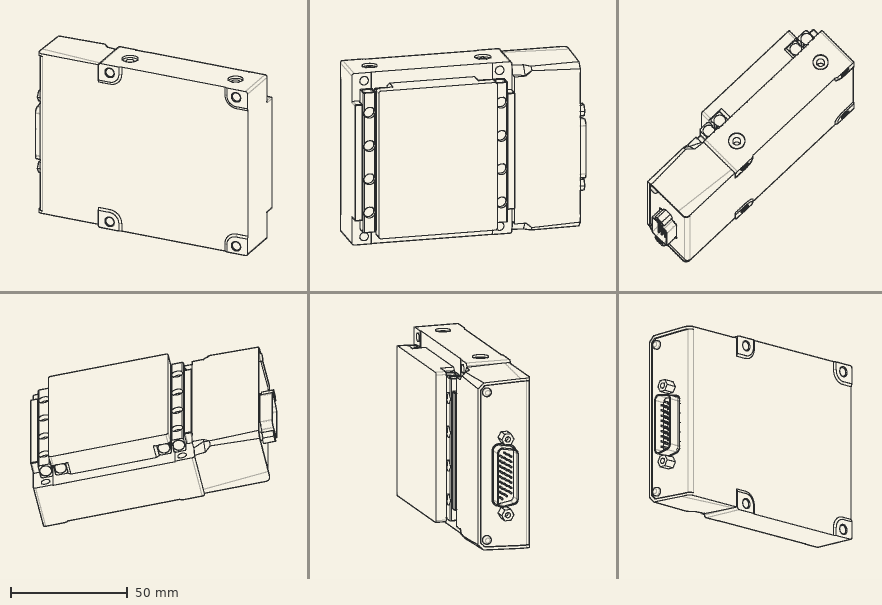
import cadquery as cq
import math


total_length = 104.4
total_width = 77.0
base_start = 33.5
base_edge_radius = 1.0
foot_height = 0.5
seat_y = 19.7
floor_y = 19.4
floor_length = 53.7
base_middle = (base_start + total_length) / 2
half_width = total_width / 2

foot_hole_inset_x = 5.4
foot_hole_inset_z = 3.5
foot_hole_dia = 3.8
foot_hole_mouth_dia = 4.5
foot_radius = 4.4
foot_root_radius = 5.5
foot_reach = 12.5

side_hole_spacing = 50.1
side_hole_y = 10.0
side_hole_dia = 3.3
side_hole_depth = 8.4
side_recess_depth = 1.0
side_recess_dias = [7.0, 6.5]

rail_width = 5.4
rail_height = 6.3
rail_length = 62.6
rail_edge_x = 0.5
rail_edge_y = 0.5
rail_groove_height = 1.3
rail_groove_depth = 0.3
rail_disc_dia = 5.0
rail_disc_relief = 0.2
outer_rail_offset = 29.2
inner_rail_offset = 22.8
rail_middle_y = seat_y + rail_height / 2
rail_bolt_dia = 4.8
rail_bolt_depth = 2.1
rail_bolt_pitch = 14.9
rail_bolt_count = 4

ridge_thickness = 3.4
ridge_length = 52.2
ridge_top_y = 25.1
ridge_corner_radius = 0.5
ridge_top_chamfer = 0.3

carriage_length = 52.6
carriage_width = 66.3
carriage_top_y = 30.5
plate_bottom_y = 25.9
carriage_corner_radius = 1.0
stem_length = 2 * (inner_rail_offset - rail_width / 2)
stem_bottom_y = 20.0
stem_chamfer = 1.3

box_face_x = 4.4
box_half_width = 37.5
box_top_y = 24.4
box_draft = math.radians(2)
box_front_crease_y = 5.2
box_rear_crease_y = 2.6
box_front_chamfer = 2.5
box_rear_chamfer = 1.3
box_edge_radius = 2.1
notch_start_x = 25.6
notch_full_x = 28.6
notch_depth = 4.5
notch_start_cut = 1.3
notch_mouth_y = 20.3
notch_floor_edge_y = 23.4
notch_base_floor_edge_y = 21.1

panel_depth = 0.7
panel_rim = 1.3
panel_edge_radius = 1.7
panel_corner_cut = 1.9
panel_x = box_face_x + panel_depth

screw_dia = 3.8
screw_tip_x = 3.5
screw_edge_radius = 0.8
screw_y = 20.4
screw_z = 32.6

connector_y = 12.4
connector_z = -4.5
shell_height = 9.4
shell_width = 25.5
shell_slant = math.radians(10)
shell_corner_radius = 2.3
shell_wall = 0.5
shell_gap = 0.6
shell_gap_depth = 0.5

pin_dia = 0.6
pin_tip_x = 1.4
pin_pitch = 2.3
pin_row_pitch = 2.0
pin_rows = [(1, 9, 3.75), (0, 9, 4.25), (-1, 8, 3.75)]

nut_corner_dia = 5.5
nut_hole_dia = 2.3
nut_hole_depth = 3.1
nut_spacing = 33.4


def block(x0, x1, y0, y1, z_length):
    """Box between two X and two Y values, centred on Z."""
    centre = ((x0 + x1) / 2, (y0 + y1) / 2, 0)
    return cq.Workplane("XY").box(x1 - x0, y1 - y0, z_length).translate(centre)


def rod(x0, x1, y, z, dia):
    """Cylinder along X."""
    return cq.Workplane("YZ", origin=(x0, y, z)).circle(dia / 2).extrude(x1 - x0)


def bore_down(x, y, z, dia, depth):
    """Cylinder along Y whose upper end is at the given point."""
    return cq.Workplane("XZ", origin=(x, y, z)).circle(dia / 2).extrude(depth)


def yz_wire(x, points):
    """Closed polygon of (y, z) points at one X."""
    return cq.Wire.makePolygon([cq.Vector(x, y, z) for y, z in points], close=True)


def ruled_loft(*wires):
    return cq.Workplane(obj=cq.Solid.makeLoft(list(wires), True))


def foot_wire(y, radius):
    """Round-cornered foot outline about its hole, open toward -X and +Z."""
    outline = (
        cq.Workplane("XZ", origin=(0, y, 0))
        .moveTo(-foot_reach, foot_reach)
        .lineTo(-foot_reach, -radius)
        .lineTo(0, -radius)
        .radiusArc((radius, 0), -radius)
        .lineTo(radius, foot_reach)
        .close()
    )
    return outline.val()


def mirrored_corners(body):
    """Copies of a body at the +Z, -X corner for all four corners of the base."""
    flipped = body.mirror("XY")
    pair = [body, flipped]
    far_pair = [b.mirror("YZ", (base_middle, 0, 0)) for b in pair]
    return pair + far_pair


def make_base_block():
    base = block(base_start, total_length, foot_height, seat_y, total_width)
    base = base.edges("|Y").fillet(base_edge_radius)
    footprint = block(base_start, total_length, 0, foot_height, total_width)
    footprint = footprint.edges("|Y").fillet(base_edge_radius)

    hole_x = base_start + foot_hole_inset_x
    hole_z = half_width - foot_hole_inset_z
    foot = ruled_loft(foot_wire(0, foot_radius), foot_wire(foot_height, foot_root_radius))
    for corner_foot in mirrored_corners(foot.translate((hole_x, 0, hole_z))):
        base = base.union(corner_foot.intersect(footprint))

    mouth_depth = (foot_hole_mouth_dia - foot_hole_dia) / 2
    mouth = cq.Workplane(
        obj=cq.Solid.makeCone(
            foot_hole_mouth_dia / 2, foot_hole_dia / 2, mouth_depth,
            cq.Vector(hole_x, 0, hole_z), cq.Vector(0, 1, 0),
        )
    )
    foot_hole = bore_down(hole_x, seat_y, hole_z, foot_hole_dia, seat_y).union(mouth)
    for corner_hole in mirrored_corners(foot_hole):
        base = base.cut(corner_hole)

    floor_start = base_middle - floor_length / 2
    floor = block(floor_start, floor_start + floor_length, floor_y, seat_y, total_width)
    return base.cut(floor)


def cut_side_holes(base):
    for side, recess_dia in zip((-1, 1), side_recess_dias):
        x = base_middle + side * side_hole_spacing / 2
        face = cq.Workplane("XY", origin=(x, side_hole_y, half_width))
        base = base.cut(face.circle(side_hole_dia / 2).extrude(-side_hole_depth))
        base = base.cut(face.circle(recess_dia / 2).extrude(-side_recess_depth))
    return base


def make_rail(offset, groove_side):
    """Rail along Z, at an X offset from the base middle, grooved toward its partner rail."""
    half = rail_width / 2
    top = rail_height / 2
    profile = [
        (-half + rail_edge_x, -top), (half - rail_edge_x, -top), (half, -top + rail_edge_x),
        (half, top - rail_edge_y), (half - rail_edge_x, top),
        (-half + rail_edge_x, top), (-half, top - rail_edge_y), (-half, -top + rail_edge_x),
    ]
    rail = cq.Workplane("XY").polyline(profile).close().extrude(rail_length / 2, both=True)
    groove_x = groove_side * half
    rail = rail.cut(
        block(
            groove_x - rail_groove_depth, groove_x + rail_groove_depth,
            -rail_groove_height / 2, rail_groove_height / 2, rail_length,
        )
    )
    for end in (-1, 1):
        face = cq.Workplane("XY", origin=(0, 0, end * rail_length / 2))
        rail = rail.cut(face.circle(rail_disc_dia / 2).extrude(-end * rail_disc_relief))
    return rail.translate((base_middle + offset, rail_middle_y, 0))


def make_outer_rail(side):
    rail = make_rail(side * outer_rail_offset, -side)
    for i in range(rail_bolt_count):
        z = (i - (rail_bolt_count - 1) / 2) * rail_bolt_pitch
        x = base_middle + side * outer_rail_offset
        rail = rail.cut(bore_down(x, seat_y + rail_height, z, rail_bolt_dia, rail_bolt_depth))
    return rail


def make_ridge():
    """Low wall along the box end of the base, against the outer rail."""
    ridge = block(base_start, base_start + ridge_thickness, seat_y, ridge_top_y, ridge_length)
    return ridge.edges("|Y").fillet(ridge_corner_radius).faces(">Y").chamfer(ridge_top_chamfer)


def side_z(y, crease_y):
    """Half width of the box: upright below the crease, drafted inward above it."""
    return box_half_width - max(0, y - crease_y) * math.tan(box_draft)


def box_section(x, crease_y, chamfer):
    shoulder_y = box_top_y - chamfer
    shoulder_z = side_z(shoulder_y, crease_y)
    upper = [(foot_height, box_half_width), (crease_y, box_half_width),
             (shoulder_y, shoulder_z), (box_top_y, shoulder_z - chamfer)]
    lower = [(y, -z) for y, z in reversed(upper)]
    return yz_wire(x, upper + lower)


def make_box():
    box = ruled_loft(
        box_section(box_face_x, box_front_crease_y, box_front_chamfer),
        box_section(base_start, box_rear_crease_y, box_rear_chamfer),
    )
    edge = cq.selectors.NearestToPointSelector((box_face_x, foot_height, 0))
    return box.edges(edge).fillet(box_edge_radius)


def cut_corner_notches(box):
    """Sloped notches at the upper rear corners, deepening toward the base."""
    outside_y = box_top_y + 1
    outside_z = box_half_width + 1
    floor_z = box_half_width - notch_depth

    def section(x, mouth_y, floor_edge_y, depth_z):
        points = [(mouth_y, outside_z), (mouth_y, side_z(mouth_y, box_rear_crease_y)),
                  (floor_edge_y, depth_z), (outside_y, depth_z), (outside_y, outside_z)]
        return yz_wire(x, points)

    start_y = box_top_y - notch_start_cut
    start_z = side_z(start_y, box_rear_crease_y) - notch_start_cut
    start = section(notch_start_x, start_y, box_top_y, start_z)
    full = section(notch_full_x, notch_mouth_y, notch_floor_edge_y, floor_z)
    end = section(base_start, seat_y, notch_base_floor_edge_y, floor_z)
    for notch in (ruled_loft(start, full), ruled_loft(full, end)):
        box = box.cut(notch).cut(notch.mirror("XY"))
    return box


def cut_panel(box):
    """Recess the front face inside a rim, running out around the lower rounded edge."""
    run_out_x = panel_x + panel_edge_radius
    run_out_y = foot_height + panel_edge_radius
    profile = (
        cq.Workplane("XY")
        .moveTo(0, 0)
        .lineTo(run_out_x, 0)
        .lineTo(run_out_x, foot_height)
        .radiusArc((panel_x, run_out_y), panel_edge_radius)
        .lineTo(panel_x, box_top_y)
        .lineTo(0, box_top_y)
        .close()
        .extrude(half_width, both=True)
    )
    top = box_top_y - panel_rim
    top_z = side_z(top, box_front_crease_y) - panel_rim
    crease_z = box_half_width - panel_rim
    upper = [(0, crease_z), (box_front_crease_y, crease_z),
             (top - panel_corner_cut, top_z), (top, top_z - panel_corner_cut)]
    lower = [(y, -z) for y, z in reversed(upper)]
    opening = cq.Workplane("YZ").polyline(upper + lower).close().extrude(run_out_x)
    return box.cut(profile.intersect(opening))


def make_panel_screw(z):
    head = rod(screw_tip_x, panel_x, screw_y, z, screw_dia)
    return head.faces("<X").edges().fillet(screw_edge_radius)


def d_prism(x0, x1, offset):
    """D outline grown by an offset, wide side toward +Y."""
    half_height = shell_height / 2 + offset
    mid_half = shell_width / 2 + offset / math.cos(shell_slant)
    lean = half_height * math.tan(shell_slant)
    points = [(-half_height, -mid_half + lean), (half_height, -mid_half - lean),
              (half_height, mid_half + lean), (-half_height, mid_half - lean)]
    outline = cq.Workplane("YZ", origin=(x0, connector_y, connector_z)).polyline(points).close()
    prism = outline.extrude(x1 - x0)
    return prism.edges("|X").fillet(shell_corner_radius + offset)


def add_connector(body):
    floor_x = panel_x + shell_gap_depth
    body = body.cut(d_prism(0, floor_x, shell_gap))
    body = body.union(d_prism(0, floor_x, 0).cut(d_prism(0, panel_x, -shell_wall)))
    for step, count, first in pin_rows:
        for i in range(count):
            y = connector_y + step * pin_row_pitch
            z = connector_z + (first - i) * pin_pitch
            body = body.union(rod(pin_tip_x, floor_x, y, z, pin_dia))
    for side in (-1, 1):
        z = connector_z + side * nut_spacing / 2
        nut = cq.Workplane("YZ", origin=(0, connector_y, z)).polygon(6, nut_corner_dia).extrude(panel_x)
        body = body.union(nut.cut(rod(0, nut_hole_depth, connector_y, z, nut_hole_dia)))
    return body


def make_housing():
    housing = make_base_block()
    housing = cut_side_holes(housing)
    ridge = make_ridge()
    housing = housing.union(ridge).union(ridge.mirror("YZ", (base_middle, 0, 0)))
    for side in (-1, 1):
        housing = housing.union(make_outer_rail(side))
    housing = housing.union(cut_panel(cut_corner_notches(make_box())))
    for side in (-1, 1):
        housing = housing.union(make_panel_screw(side * screw_z))
    return add_connector(housing)


def make_carriage():
    plate = block(
        base_middle - carriage_length / 2, base_middle + carriage_length / 2,
        plate_bottom_y, carriage_top_y, carriage_width,
    ).edges("|Y").fillet(carriage_corner_radius)
    stem = block(
        base_middle - stem_length / 2, base_middle + stem_length / 2,
        stem_bottom_y, plate_bottom_y, carriage_width,
    ).edges("|Y").chamfer(stem_chamfer)
    carriage = plate.union(stem)
    for side in (-1, 1):
        carriage = carriage.union(make_rail(side * inner_rail_offset, side))
    return carriage


housing = make_housing().solids()
carriage = make_carriage().solids()

result = cq.Compound.makeCompound([housing.val(), carriage.val()])